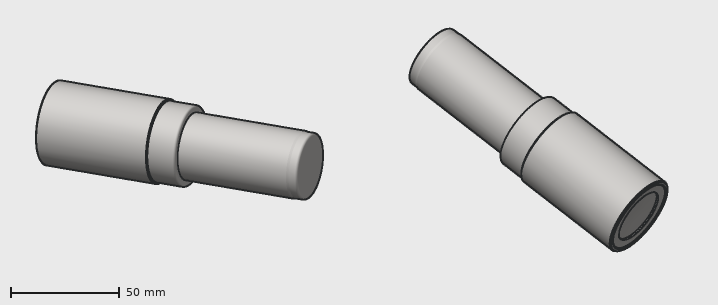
import cadquery as cq

total_length = 130.0
sleeve_length = 56.2
collar_end = 69.9
taper_start = 124.5
taper_length = 1.2

sleeve_diameter = 40.0
collar_diameter = 38.5
tube_diameter = 32.0
tip_diameter = 31.5
bore_diameter = 35.6
inner_cone_diameter = 29.6
recess_diameter = 26.8

sleeve_chamfer = 0.5
bore_chamfer = 0.5
bore_chamfer_depth = 0.3
collar_fillet = 1.0
tip_fillet = 1.2

outer_cone_drop = 0.18
inner_cone_drop = 0.04
recess_depth = 0.9
recess_floor_drop = 0.4
recess_wall_taper = 0.1


def revolve_about_x(profile):
    """Revolve a closed profile of (x, radius) points around the X axis."""
    return cq.Workplane("XY").polyline(profile).close().revolve(360, (0, 0, 0), (1, 0, 0))


def make_sleeve():
    """Sleeve with chamfered outer edges and a chamfered bore mouth."""
    outer = sleeve_diameter / 2
    bore = bore_diameter / 2
    return revolve_about_x([
        (bore_chamfer_depth, bore),
        (0, bore + bore_chamfer),
        (0, outer - sleeve_chamfer),
        (sleeve_chamfer, outer),
        (sleeve_length - sleeve_chamfer, outer),
        (sleeve_length, outer - sleeve_chamfer),
        (sleeve_length, bore),
    ])


def make_barrel():
    """Stepped barrel: core inside the sleeve, collar, and tube with a reduced tip."""
    core = bore_diameter / 2
    collar = collar_diameter / 2
    tube = tube_diameter / 2
    tip = tip_diameter / 2
    recess = recess_diameter / 2
    rim_x = bore_chamfer_depth
    cone_joint_x = rim_x + outer_cone_drop
    recess_mouth_x = cone_joint_x + inner_cone_drop
    recess_floor_x = recess_mouth_x + recess_depth
    body = revolve_about_x([
        (recess_floor_x + recess_floor_drop, 0),
        (recess_floor_x, recess),
        (recess_mouth_x, recess + recess_wall_taper),
        (cone_joint_x, inner_cone_diameter / 2),
        (rim_x, core),
        (sleeve_length, core),
        (sleeve_length, collar),
        (collar_end, collar),
        (collar_end, tube),
        (taper_start, tube),
        (taper_start + taper_length, tip),
        (total_length, tip),
        (total_length, 0),
    ])
    body = body.edges(cq.selectors.RadiusNthSelector(-1)).edges(">X").fillet(collar_fillet)
    return body.faces(">X").edges().fillet(tip_fillet)


sleeve = make_sleeve()
barrel = make_barrel()

result = cq.Compound.makeCompound([sleeve.val(), barrel.val()])